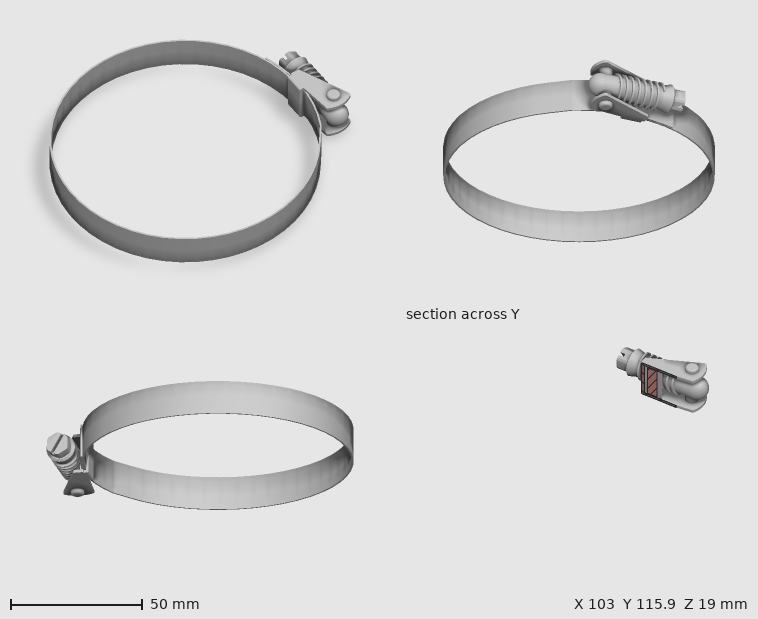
import cadquery as cq
import math

band_width = 13.0
band_thickness = 0.7
band_outer_radius = 51.5
layer_gap = 0.1
tail_outer_radius = band_outer_radius + layer_gap + band_thickness
tail_angle = 110.2
step_start_angle = 64.2
step_end_angle = 55.1

flange_gap = 13.2
flange_thickness = 1.2
bracket_width = flange_gap + 2 * flange_thickness
bracket_left = -5.0
base_half_length = 4.1
base_bottom = 49.7
base_top = 50.6
bend_radius = 0.7
flange_bottom = 51.5
bridge_top = 52.8
flange_shoulder = 55.2
flange_tip = (16.5, 64.7)
flange_nose = (19.0, 58.6)
flange_heel = (17.7, 52.9)
tip_radius = 1.2

screw_y = 58.5
hex_start = -17.3
hex_flats = 8.1
hex_corners = 8.8
slot_width = 1.3
slot_depth = 2.2
slot_tilt = 30.0
collar_start = -12.8
collar_rim = -12.1
collar_face_radius = 4.8
collar_radius = 5.6
collar_end = -8.1
shaft_radius = 4.5
screw_end = 20.8
thread_start = -8.5
thread_pitch = 2.5
thread_turns = 7.3
thread_radius = 5.6
thread_width = 0.7
thread_root_depth = 0.2

pin_x = 13.9
pin_diameter = 5.2
pin_outer_end = 9.5
pin_inner_end = 2.3
pin_edge_radius = 0.9


def polar(radius, angle):
    turn = math.radians(angle)
    return (radius * math.cos(turn), radius * math.sin(turn))


def pin_cylinder(side, z_inner, z_outer):
    """Cylinder on the pivot axis between two heights, above (side 1) or below (side -1) Z = 0."""
    return (
        cq.Workplane("XY")
        .workplane(offset=side * z_inner)
        .center(pin_x, screw_y)
        .circle(pin_diameter / 2)
        .extrude(side * (z_outer - z_inner))
    )


def make_band():
    outer = band_outer_radius
    inner = outer - band_thickness
    tail_inner = outer + layer_gap
    end_angle = 360 + math.degrees(math.acos(base_half_length / outer))
    turn_middle = (step_end_angle + end_angle) / 2
    tail_middle = (tail_angle + step_start_angle) / 2
    return (
        cq.Workplane("XY")
        .workplane(offset=-band_width / 2)
        .moveTo(*polar(tail_outer_radius, tail_angle))
        .threePointArc(polar(tail_outer_radius, tail_middle), polar(tail_outer_radius, step_start_angle))
        .lineTo(*polar(outer, step_end_angle))
        .threePointArc(polar(outer, turn_middle), polar(outer, end_angle))
        .lineTo(*polar(inner, end_angle))
        .threePointArc(polar(inner, turn_middle), polar(inner, step_end_angle))
        .lineTo(*polar(tail_inner, step_start_angle))
        .threePointArc(polar(tail_inner, tail_middle), polar(tail_inner, tail_angle))
        .close()
        .extrude(band_width)
    )


def make_flange(side):
    inner_face = flange_gap / 2
    flange = (
        cq.Workplane("XY")
        .workplane(offset=side * inner_face)
        .moveTo(bracket_left, flange_bottom)
        .lineTo(bracket_left, flange_shoulder)
        .lineTo(*flange_tip)
        .threePointArc(flange_nose, flange_heel)
        .lineTo(base_half_length, flange_bottom)
        .close()
        .extrude(side * flange_thickness)
        .edges("|Z and >Y")
        .fillet(tip_radius)
    )
    pin_hole = pin_cylinder(side, inner_face, inner_face + flange_thickness)
    return flange.cut(pin_hole)


def make_base():
    """Channel under the band whose side walls run up into the flanges."""
    height = flange_bottom - base_bottom
    channel = (
        cq.Workplane("XY")
        .box(2 * base_half_length, height, bracket_width)
        .translate((0, base_bottom + height / 2, 0))
        .edges("|X and <Y")
        .fillet(bend_radius)
    )
    channel_depth = flange_bottom - base_top
    channel_space = (
        cq.Workplane("XY")
        .box(2 * base_half_length, channel_depth, flange_gap)
        .translate((0, base_top + channel_depth / 2, 0))
    )
    return channel.cut(channel_space)


def make_bridge():
    """Cross wall between the flanges, hollowed underneath to sit on the outer layer of the band."""
    length = base_half_length - bracket_left
    height = bridge_top - flange_bottom
    wall = (
        cq.Workplane("XY")
        .box(length, height, flange_gap)
        .translate((bracket_left + length / 2, flange_bottom + height / 2, 0))
    )
    band_space = cq.Workplane("XY").circle(tail_outer_radius).extrude(flange_gap / 2, both=True)
    return wall.cut(band_space)


def make_bracket():
    bracket = make_base().union(make_bridge())
    for side in (1, -1):
        bracket = bracket.union(make_flange(side))
    return bracket


def make_screw_shaft():
    """Collar, tapered neck, shaft and hemispherical end as one turned shape."""
    return (
        cq.Workplane("XY", origin=(0, screw_y, 0))
        .moveTo(collar_start, 0)
        .lineTo(collar_start, collar_face_radius)
        .lineTo(collar_rim, collar_radius)
        .lineTo(collar_end, shaft_radius)
        .lineTo(screw_end - shaft_radius, shaft_radius)
        .radiusArc((screw_end, 0), shaft_radius)
        .close()
        .revolve(360, (0, 0, 0), (1, 0, 0))
    )


def make_screw_head():
    """Hexagon with rounded corners and a screwdriver slot."""
    face = cq.Plane(origin=(hex_start, screw_y, 0), xDir=(0, 0, 1), normal=(1, 0, 0))
    head_length = collar_start - hex_start
    corner_limit = cq.Workplane(face).circle(hex_corners / 2).extrude(head_length)
    slot = (
        cq.Workplane(face)
        .transformed(rotate=(0, 0, slot_tilt))
        .rect(2 * hex_corners, slot_width)
        .extrude(slot_depth)
    )
    return (
        cq.Workplane(face)
        .polygon(6, hex_flats / math.cos(math.pi / 6))
        .extrude(head_length)
        .intersect(corner_limit)
        .cut(slot)
    )


def make_thread():
    """Right-handed ridge, swept up Z and then laid along X; its root is sunk into the shaft."""
    root = shaft_radius - thread_root_depth
    path = cq.Wire.makeHelix(thread_pitch, thread_pitch * thread_turns, root)
    return (
        cq.Workplane("XZ")
        .center((root + thread_radius) / 2, 0)
        .rect(thread_radius - root, thread_width)
        .sweep(cq.Workplane(path), isFrenet=True)
        .rotate((0, 0, 0), (0, 1, 0), 90)
        .rotate((0, 0, 0), (1, 0, 0), 90)
        .translate((thread_start + thread_width / 2, screw_y, 0))
    )


def make_screw():
    screw_body = make_screw_shaft().union(make_screw_head()).union(make_thread())
    for side in (1, -1):
        screw_body = screw_body.cut(pin_cylinder(side, pin_inner_end, shaft_radius))
    return screw_body


def make_pin(side):
    outer_face = ">Z" if side > 0 else "<Z"
    pin = pin_cylinder(side, pin_inner_end, pin_outer_end)
    return pin.faces(outer_face).edges().fillet(pin_edge_radius)


band = make_band()
bracket = make_bracket()
pins = [make_pin(side) for side in (1, -1)]
screw = make_screw()
result = cq.Compound.makeCompound(
    [band.val(), bracket.val(), screw.val(), *[pin.val() for pin in pins]]
)